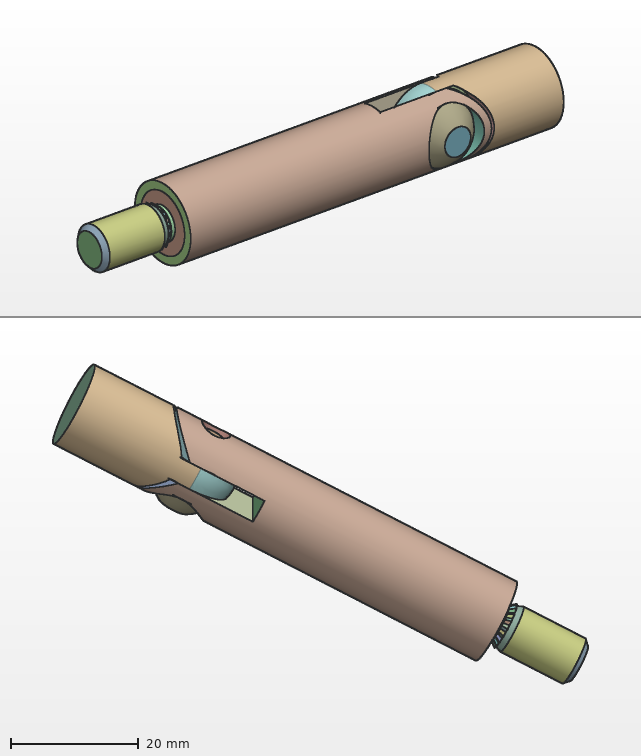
import cadquery as cq
import math


rod_radius = 7.0
overall_length = 89.85
head_length = 21.6
sleeve_length = 53.55
slot_width = 3.9
slot_depth = 11.3
joint_gap = 0.5
shoulder_radius = rod_radius + joint_gap

pin_radius = 2.5
pin_end_chamfer = 0.5
pin_end_x = -5.9
cap_radius = 5.6
cap_seat_x = 3.8
cap_rim_x = 4.3
cap_top_x = 7.3
cap_top_radius = 2.6
cap_dome_rise = 0.3

plug_radius = 5.5
plug_length = 13.5

stud_radius = 4.0
stud_end_y = head_length - overall_length
stud_end_chamfer = 0.9
neck_radius = 3.1
neck_length = 0.7
teeth_length = 1.0
tooth_count = 18
tooth_height = 0.4
teeth_radius = 3.91
root_radius = teeth_radius - tooth_height
lead_in_length = 1.1


def rod_along_y(radius, y_start, y_end):
    """Round bar about the Y axis between two Y positions."""
    return cq.Workplane("XZ", origin=(0, y_start, 0)).circle(radius).extrude(y_start - y_end)


def bar_along_x(radius, x_start, x_end):
    """Round bar about the X axis between two X positions."""
    return cq.Workplane("YZ", origin=(x_start, 0, 0)).circle(radius).extrude(x_end - x_start)


def tongue_slab():
    """Flat slab of tongue thickness that reaches past the joint on all sides."""
    size = 2 * (shoulder_radius + slot_depth)
    return cq.Workplane("XY").box(slot_width, size, size)


def make_head():
    """Upper rod with a spherical-ended tongue between two round shoulders."""
    blank = rod_along_y(rod_radius, 0, head_length).union(cq.Workplane("XY").sphere(rod_radius))
    clearance = bar_along_x(shoulder_radius, -rod_radius, rod_radius).cut(tongue_slab())
    return blank.cut(clearance).cut(bar_along_x(pin_radius, -rod_radius, rod_radius))


def make_sleeve():
    """Lower rod with a slotted round-ended fork, pin holes and a bore for the plug."""
    blank = rod_along_y(rod_radius, -sleeve_length, 0)
    fork_end = rod_along_y(rod_radius, 0, rod_radius).intersect(
        bar_along_x(rod_radius, -rod_radius, rod_radius)
    )
    slot_length = slot_depth + rod_radius
    slot = cq.Workplane("XY").box(slot_width, slot_length, 2 * rod_radius)
    slot = slot.translate((0, slot_length / 2 - slot_depth, 0))
    sleeve = blank.union(fork_end).cut(slot)
    sleeve = sleeve.cut(bar_along_x(pin_radius, -rod_radius, rod_radius))
    sleeve = sleeve.cut(bar_along_x(cap_radius, cap_seat_x, rod_radius))
    return sleeve.cut(rod_along_y(plug_radius, -sleeve_length, plug_length - sleeve_length))


def make_pivot_pin():
    """Pin with a chamfered end and a domed, flat-topped cap."""
    dome_middle = (
        (cap_rim_x + cap_top_x) / 2 + cap_dome_rise * math.sqrt(0.5),
        (cap_radius + cap_top_radius) / 2 + cap_dome_rise * math.sqrt(0.5),
    )
    return (
        cq.Workplane("XY")
        .moveTo(pin_end_x, 0)
        .lineTo(pin_end_x, pin_radius - pin_end_chamfer)
        .lineTo(pin_end_x + pin_end_chamfer, pin_radius)
        .lineTo(cap_seat_x, pin_radius)
        .lineTo(cap_seat_x, cap_radius)
        .lineTo(cap_rim_x, cap_radius)
        .threePointArc(dome_middle, (cap_top_x, cap_top_radius))
        .lineTo(cap_top_x, 0)
        .close()
        .revolve(360, (0, 0, 0), (1, 0, 0))
    )


def make_plug():
    """Bushing flush with the sleeve end that holds the neck of the stud."""
    plug_inner_y = plug_length - sleeve_length
    plug = rod_along_y(plug_radius, -sleeve_length, plug_inner_y)
    return plug.cut(rod_along_y(neck_radius, -sleeve_length, plug_inner_y))


def tooth_outline(crest_radius):
    """Star-shaped list of points with alternating tooth crests and roots."""
    points = []
    for index in range(2 * tooth_count):
        radius = crest_radius - tooth_height * (index % 2)
        angle = math.pi * index / tooth_count
        points.append((radius * math.cos(angle), radius * math.sin(angle)))
    return points


def make_stud():
    """Stud with a plain neck, a conical ring of teeth and a chamfered end."""
    teeth_start_y = -sleeve_length - neck_length
    teeth_end_y = teeth_start_y - teeth_length
    body = (
        cq.Workplane("XY")
        .moveTo(0, plug_length - sleeve_length)
        .lineTo(neck_radius, plug_length - sleeve_length)
        .lineTo(neck_radius, teeth_start_y)
        .lineTo(neck_radius - tooth_height, teeth_start_y)
        .lineTo(root_radius, teeth_end_y)
        .lineTo(stud_radius, teeth_end_y - lead_in_length)
        .lineTo(stud_radius, stud_end_y + stud_end_chamfer)
        .lineTo(stud_radius - stud_end_chamfer, stud_end_y)
        .lineTo(0, stud_end_y)
        .close()
        .revolve(360, (0, 0, 0), (0, 1, 0))
    )
    teeth = (
        cq.Workplane("XZ", origin=(0, teeth_start_y, 0))
        .polyline(tooth_outline(neck_radius))
        .close()
        .workplane(offset=teeth_length)
        .polyline(tooth_outline(teeth_radius))
        .close()
        .loft(ruled=True)
    )
    return body.union(teeth)


head = make_head()
sleeve = make_sleeve()
pivot_pin = make_pivot_pin()
plug = make_plug()
stud = make_stud()

result = cq.Compound.makeCompound(
    [head.val(), sleeve.val(), pivot_pin.val(), plug.val(), stud.val()]
)